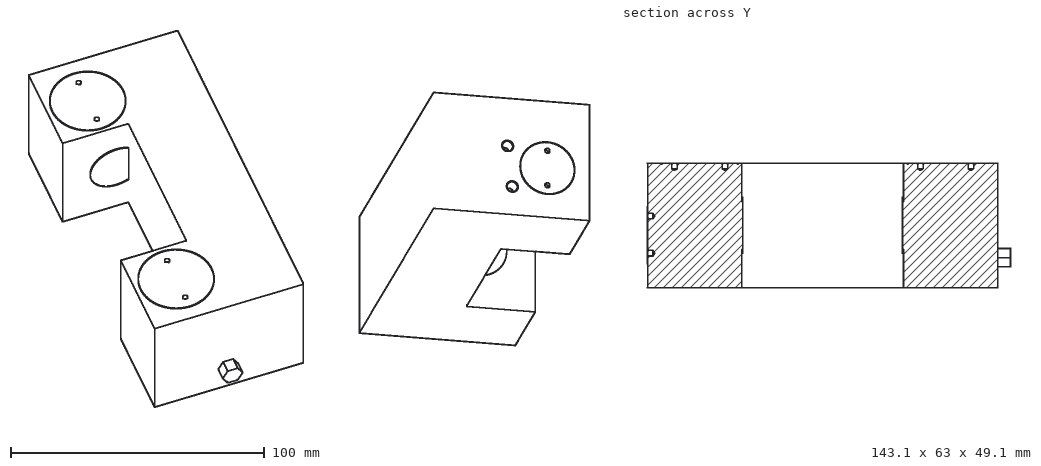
import cadquery as cq
import math

overall_length = 143.1
plug_length = 5.0
housing_length = overall_length - plug_length
housing_depth = 63.0
housing_height = 49.1
gap_width = 63.7
leg_reach = 27.8
vertical_edge_radius = 0.5

groove_width = 0.1
groove_depth = 0.3
top_cover_diameter = 29.8
side_cover_diameter = 21.8
cover_center_y = 17.0
top_cover_inset = 20.6
side_cover_z = 20.9

spanner_hole_diameter = 2.0
spanner_hole_depth = 2.1
drill_point_angle = 118.0
top_spanner_spacing = 19.9
side_spanner_spacing = 14.6

port_diameter = 4.1
port_depth = 7.2
port_mouth_chamfer = 0.3
port_a_y = 31.2
port_a_z = 11.9
port_b_y = 33.0
port_b_z = 28.9

window_diameter = 22.0
window_center_y = 22.6
window_center_z = housing_height / 2
window_rise = 0.5

plug_corner_diameter = 8.5
plug_center_y = 31.0
plug_center_z = 11.9

half_length = housing_length / 2
inner_face_x = gap_width / 2


def make_block():
    """U-shaped block with its rear vertical edges and the inner corners of the gap rounded."""
    block = cq.Workplane("XY").box(
        housing_length, housing_depth, housing_height, centered=(True, False, False)
    )
    block = block.edges("|Z and >Y").fillet(vertical_edge_radius)
    gap = cq.Workplane("XY").box(
        gap_width, leg_reach, housing_height, centered=(True, False, False)
    )
    gap = gap.edges("|Z and >Y").fillet(vertical_edge_radius)
    return block.cut(gap)


def top_plane(x):
    """Plane on the top face, pointing up."""
    return cq.Plane(origin=(x, cover_center_y, housing_height), xDir=(1, 0, 0), normal=(0, 0, 1))


def left_plane(y, z):
    """Plane on the left side, pointing out, with its local X along +Z."""
    return cq.Plane(origin=(-half_length, y, z), xDir=(0, 0, 1), normal=(-1, 0, 0))


def spanner_hole():
    """Drilled hole with a conical bottom, running down from the origin."""
    radius = spanner_hole_diameter / 2
    tip_depth = spanner_hole_depth + radius / math.tan(math.radians(drill_point_angle / 2))
    profile = [(0, 0), (radius, 0), (radius, -spanner_hole_depth), (0, -tip_depth)]
    return cq.Workplane("XZ").polyline(profile).close().revolve(360, (0, 0, 0), (0, 1, 0)).val()


def cover_cuts(plane, cover_diameter, spanner_spacing):
    """Ring groove around a cover, and the two spanner holes in it."""
    ring = (
        cq.Workplane(plane)
        .circle(cover_diameter / 2 + groove_width)
        .circle(cover_diameter / 2)
        .extrude(-groove_depth)
    )
    hole_centers = [(-spanner_spacing / 2, 0), (spanner_spacing / 2, 0)]
    hole = spanner_hole()
    holes = cq.Workplane(plane).pushPoints(hole_centers).eachpoint(hole, useLocalCoordinates=True)
    return ring.add(holes).combine()


def port_cut(y, z):
    """Blind port drilled into the left side, widened by a chamfer at its mouth."""
    mouth_radius = port_diameter / 2 + port_mouth_chamfer
    bore = cq.Workplane(left_plane(y, z)).circle(port_diameter / 2).extrude(-port_depth)
    mouth = (
        cq.Workplane(left_plane(y, z))
        .circle(mouth_radius)
        .extrude(-port_mouth_chamfer, taper=45)
    )
    return bore.union(mouth)


def window(side):
    """Raised disc on the inner face of the left (-1) or right (+1) leg."""
    plane = cq.Plane(
        origin=(side * inner_face_x, window_center_y, window_center_z),
        xDir=(0, 1, 0),
        normal=(-side, 0, 0),
    )
    return cq.Workplane(plane).circle(window_diameter / 2).extrude(window_rise)


def make_housing():
    """Block with its windows, cover outlines and ports."""
    housing = make_block()
    for side in (-1, 1):
        housing = housing.union(window(side))
        top_cover = top_plane(side * (half_length - top_cover_inset))
        housing = housing.cut(cover_cuts(top_cover, top_cover_diameter, top_spanner_spacing))
    side_cover = left_plane(cover_center_y, side_cover_z)
    housing = housing.cut(cover_cuts(side_cover, side_cover_diameter, side_spanner_spacing))
    housing = housing.cut(port_cut(port_a_y, port_a_z))
    return housing.cut(port_cut(port_b_y, port_b_z))


def make_plug():
    """Hexagonal plug with two of its corners pointing along Y."""
    plane = cq.Plane(
        origin=(half_length, plug_center_y, plug_center_z), xDir=(0, 1, 0), normal=(1, 0, 0)
    )
    return cq.Workplane(plane).polygon(6, plug_corner_diameter).extrude(plug_length)


housing = make_housing()
plug = make_plug()
result = cq.Compound.makeCompound([housing.val(), plug.val()])